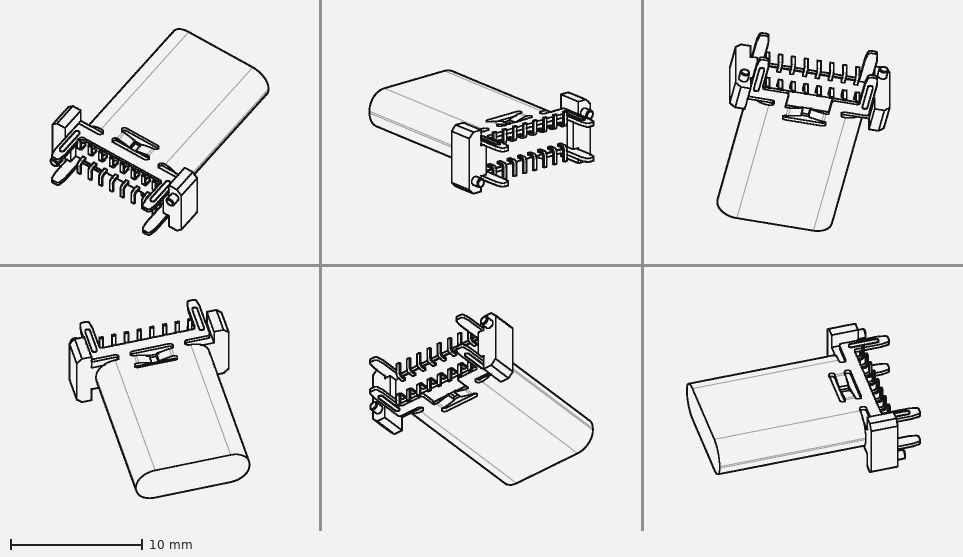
import cadquery as cq

OVERALL_LENGTH = 15.9

SHELL_WIDTH = 8.96
SHELL_HEIGHT = 3.15
SHELL_CORNER_RADIUS = 1.5
SHEET_THICKNESS = 0.3
SHELL_TOP = SHELL_HEIGHT / 2

HOUSING_WIDTH = 12.0
HOUSING_HEIGHT = 5.0
HOUSING_DEPTH = 2.1
END_BLOCK_WIDTH = 1.17
END_BLOCK_CHAMFER = 0.42
BRIDGE_HEIGHT = 2.48
BRIDGE_TOP = BRIDGE_HEIGHT / 2
INSERT_WIDTH = 8.62
INSERT_RECESS = 0.68

FLANGE_WIDTH = 9.36
FLANGE_EDGE_Y = 0.635
LEG_WIDTH = 0.91
LEG_TIP_Y = -2.23
LEG_TAPER_Y = -1.52
LEG_NOSE_Y = -2.05
LEG_NOSE_INSET = 0.09
LEG_TIP_INSET = 0.3
LEG_NOSE_RADIUS = 0.22
FLANGE_CORNER_RADIUS = 0.2
RELIEF_SLOT_HEIGHT = 0.53
RELIEF_SLOT_INNER_X = 2.61
LEG_RIB_WIDTH = 0.39
LEG_RIB_RISE = 0.05
LEG_RIB_START_Y = -1.44
LEG_RIB_END_Y = 0.92

WINDOW_SLOT_LENGTH = 3.36
FRONT_SLOT_START_Y = 1.58
FRONT_SLOT_END_Y = 2.06
REAR_SLOT_START_Y = 2.84
REAR_SLOT_END_Y = 3.28
FINGER_EDGE_X = 1.47
FINGER_BEND_X = 1.29
FINGER_TIP_X = 0.29
FINGER_EDGE_DROP = 0.015
FINGER_TIP_DROP = 0.26
FINGER_TIP_ROUND = 0.1
FINGER_GAP_DEPTH = 0.25
NOTCH_MOUTH_RADIUS = 0.24

CONTACTS_PER_ROW = 8
CONTACT_PITCH = 1.0
CONTACT_WIDTH = 0.28
CONTACT_THICKNESS = 0.15
CONTACT_BEND_RADIUS = 0.3
CONTACT_FRONT_Y = -0.07
CONTACT_INNER_Z = 0.78
CONTACT_OUTER_Z = 2.0
CONTACT_EMBED = 0.3

PEG_DIAMETER = 0.7
PEG_LENGTH = 0.7
PEG_CHAMFER = 0.07
PEG_X = 5.4
PEG_Z = 1.49

CUT_DEPTH = SHELL_TOP - BRIDGE_TOP
FLANGE_BASE_Z = SHELL_TOP - SHEET_THICKNESS
SELECTION_MARGIN = 0.05


def box(x_range, y_range, z_range):
    """Axis-aligned box from its low and high limits."""
    size = [high - low for low, high in (x_range, y_range, z_range)]
    corner = (x_range[0], y_range[0], z_range[0])
    return cq.Workplane("XY").box(*size, centered=False).translate(corner)


def flat_slot(x_center, y_center, x_size, y_size, z_base, height):
    """Rounded-end slot body lying in XY and rising from z_base."""
    length, width = max(x_size, y_size), min(x_size, y_size)
    angle = 0 if x_size > y_size else 90
    plane = cq.Workplane("XY", origin=(x_center, y_center, z_base))
    return plane.slot2D(length, width, angle).extrude(height)


def flip(body):
    """Turn a top-side feature over onto the bottom side."""
    return body.mirror("XY")


def make_shell():
    shell_end_y = OVERALL_LENGTH + LEG_TIP_Y
    length = shell_end_y - HOUSING_DEPTH
    bar = cq.Workplane("XY").box(SHELL_WIDTH, length, SHELL_HEIGHT)
    bar = bar.edges("|Y").fillet(SHELL_CORNER_RADIUS)
    return bar.translate((0, HOUSING_DEPTH + length / 2, 0))


def make_housing():
    half_width = HOUSING_WIDTH / 2
    half_height = HOUSING_HEIGHT / 2
    half_insert = INSERT_WIDTH / 2
    depth = (0, HOUSING_DEPTH)
    bridge_z = (-BRIDGE_TOP, BRIDGE_TOP)

    block_x = (half_width - END_BLOCK_WIDTH, half_width)
    block = box(block_x, depth, (-half_height, half_height))
    block = block.edges(">X and |Y").chamfer(END_BLOCK_CHAMFER)
    end = block.union(box((half_insert, half_width - END_BLOCK_WIDTH), depth, bridge_z))
    insert = box((-half_insert, half_insert), (INSERT_RECESS, HOUSING_DEPTH), bridge_z)
    return insert.union(end).union(end.mirror("YZ"))


def make_leg():
    """Right-hand solder leg, tapering to a blunt nose."""
    outer = FLANGE_WIDTH / 2
    inner = outer - LEG_WIDTH
    plane = cq.Workplane("XY", origin=(0, 0, FLANGE_BASE_Z))
    outline = (
        plane.moveTo(inner, FLANGE_EDGE_Y)
        .lineTo(inner, LEG_TAPER_Y)
        .lineTo(inner + LEG_NOSE_INSET, LEG_NOSE_Y)
        .radiusArc((inner + LEG_TIP_INSET, LEG_TIP_Y), -LEG_NOSE_RADIUS)
        .lineTo(outer - LEG_TIP_INSET, LEG_TIP_Y)
        .radiusArc((outer - LEG_NOSE_INSET, LEG_NOSE_Y), -LEG_NOSE_RADIUS)
        .lineTo(outer, LEG_TAPER_Y)
        .lineTo(outer, FLANGE_EDGE_Y)
        .close()
    )
    return outline.extrude(SHEET_THICKNESS)


def make_leg_rib():
    leg_center = (FLANGE_WIDTH - LEG_WIDTH) / 2
    rib_length = LEG_RIB_END_Y - LEG_RIB_START_Y
    rib_center_y = (LEG_RIB_END_Y + LEG_RIB_START_Y) / 2
    rib_height = SHEET_THICKNESS + LEG_RIB_RISE
    return flat_slot(leg_center, rib_center_y, LEG_RIB_WIDTH, rib_length, FLANGE_BASE_Z, rib_height)


def make_flange():
    """Top flange: sheet strip, neck into the shell, and two legs."""
    outer = FLANGE_WIDTH / 2
    sheet_z = (FLANGE_BASE_Z, SHELL_TOP)
    shoulder_y = HOUSING_DEPTH - RELIEF_SLOT_HEIGHT
    leg = make_leg()
    flange = box((-outer, outer), (FLANGE_EDGE_Y, shoulder_y), sheet_z)
    flange = flange.union(leg).union(leg.mirror("YZ")).clean()

    inner = outer - LEG_WIDTH
    for x, y in ((outer, shoulder_y), (inner, FLANGE_EDGE_Y)):
        for side in (-1, 1):
            corner = cq.selectors.BoxSelector(
                (side * x - SELECTION_MARGIN, y - SELECTION_MARGIN, FLANGE_BASE_Z - SELECTION_MARGIN),
                (side * x + SELECTION_MARGIN, y + SELECTION_MARGIN, SHELL_TOP + SELECTION_MARGIN),
            )
            flange = flange.edges("|Z").edges(corner).fillet(FLANGE_CORNER_RADIUS)

    neck_half = RELIEF_SLOT_INNER_X + RELIEF_SLOT_HEIGHT / 2
    neck = box((-neck_half, neck_half), (shoulder_y, HOUSING_DEPTH), sheet_z)
    for side in (-1, 1):
        center = (side * neck_half, HOUSING_DEPTH - RELIEF_SLOT_HEIGHT / 2, FLANGE_BASE_Z)
        end = cq.Workplane("XY", origin=center).circle(RELIEF_SLOT_HEIGHT / 2)
        neck = neck.cut(end.extrude(SHEET_THICKNESS))

    rib = make_leg_rib()
    return flange.union(neck).union(rib).union(rib.mirror("YZ"))


def make_window_slot(start_y, end_y):
    return flat_slot(0, (start_y + end_y) / 2, WINDOW_SLOT_LENGTH, end_y - start_y, BRIDGE_TOP, CUT_DEPTH)


def make_finger_hollow():
    """Space above the two fingers that bend inward toward the middle."""
    edge_z = SHELL_TOP - FINGER_EDGE_DROP
    tip_z = SHELL_TOP - FINGER_TIP_DROP
    right_side = [
        (FINGER_TIP_X, BRIDGE_TOP),
        (FINGER_TIP_X, tip_z),
        (FINGER_BEND_X, edge_z),
        (FINGER_EDGE_X, SHELL_TOP),
    ]
    left_side = [(-x, z) for x, z in reversed(right_side)]
    plane = cq.Workplane("XZ", origin=(0, REAR_SLOT_START_Y, 0))
    return plane.polyline(right_side + left_side).close().extrude(REAR_SLOT_START_Y - FRONT_SLOT_END_Y)


def make_finger_gap():
    """Pit between the finger tips, flared around their rounded corners."""
    y_range = (FRONT_SLOT_END_Y, REAR_SLOT_START_Y)
    z_range = (BRIDGE_TOP - FINGER_GAP_DEPTH, SHELL_TOP)
    flare_x = FINGER_TIP_X + FINGER_TIP_ROUND
    gap = box((-flare_x, flare_x), y_range, z_range)
    finger_x = (FINGER_TIP_X, flare_x + FINGER_TIP_ROUND)
    finger = box(finger_x, y_range, z_range).edges("<X and |Z").fillet(FINGER_TIP_ROUND)
    return gap.cut(finger).cut(finger.mirror("YZ"))


def make_edge_notch():
    """Opening from the flange edge to the spring window, with a rounded mouth."""
    half = WINDOW_SLOT_LENGTH / 2
    mouth = half + NOTCH_MOUTH_RADIUS
    throat_y = FLANGE_EDGE_Y + NOTCH_MOUTH_RADIUS
    plane = cq.Workplane("XY", origin=(0, 0, BRIDGE_TOP))
    outline = (
        plane.moveTo(-mouth, FLANGE_EDGE_Y)
        .lineTo(mouth, FLANGE_EDGE_Y)
        .radiusArc((half, throat_y), NOTCH_MOUTH_RADIUS)
        .lineTo(half, FRONT_SLOT_END_Y)
        .lineTo(-half, FRONT_SLOT_END_Y)
        .lineTo(-half, throat_y)
        .radiusArc((-mouth, FLANGE_EDGE_Y), NOTCH_MOUTH_RADIUS)
        .close()
    )
    return outline.extrude(CUT_DEPTH)


def make_contact():
    """Top-row contact tail at x = 0: out of the insert, then bent upward."""
    inner_radius = CONTACT_BEND_RADIUS - CONTACT_THICKNESS
    bend_y = CONTACT_FRONT_Y + CONTACT_BEND_RADIUS
    bend_z = CONTACT_INNER_Z + CONTACT_BEND_RADIUS
    tail_back_y = CONTACT_FRONT_Y + CONTACT_THICKNESS
    shank_top_z = CONTACT_INNER_Z + CONTACT_THICKNESS
    root_y = INSERT_RECESS + CONTACT_EMBED
    plane = cq.Workplane("YZ", origin=(-CONTACT_WIDTH / 2, 0, 0))
    profile = (
        plane.moveTo(root_y, CONTACT_INNER_Z)
        .lineTo(bend_y, CONTACT_INNER_Z)
        .radiusArc((CONTACT_FRONT_Y, bend_z), CONTACT_BEND_RADIUS)
        .lineTo(CONTACT_FRONT_Y, CONTACT_OUTER_Z)
        .lineTo(tail_back_y, CONTACT_OUTER_Z)
        .lineTo(tail_back_y, bend_z)
        .radiusArc((bend_y, shank_top_z), -inner_radius)
        .lineTo(root_y, shank_top_z)
        .close()
    )
    return profile.extrude(CONTACT_WIDTH)


def make_peg(x, z):
    peg = cq.Workplane("XZ", origin=(x, 0, z)).circle(PEG_DIAMETER / 2).extrude(PEG_LENGTH)
    return peg.faces("<Y").chamfer(PEG_CHAMFER)


flange = make_flange()
front_slot = make_window_slot(FRONT_SLOT_START_Y, FRONT_SLOT_END_Y)
rear_slot = make_window_slot(REAR_SLOT_START_Y, REAR_SLOT_END_Y)
spring_window = rear_slot.union(make_finger_hollow()).union(make_finger_gap())

result = make_shell().union(make_housing()).union(flange).union(flip(flange))
result = result.cut(spring_window).cut(front_slot)
result = result.cut(flip(spring_window)).cut(flip(make_edge_notch()))

contact = make_contact()
first_contact_x = -CONTACT_PITCH * (CONTACTS_PER_ROW - 1) / 2
for index in range(CONTACTS_PER_ROW):
    top_contact = contact.translate((first_contact_x + index * CONTACT_PITCH, 0, 0))
    result = result.union(top_contact).union(flip(top_contact))

for side in (-1, 1):
    result = result.union(make_peg(side * PEG_X, side * PEG_Z))